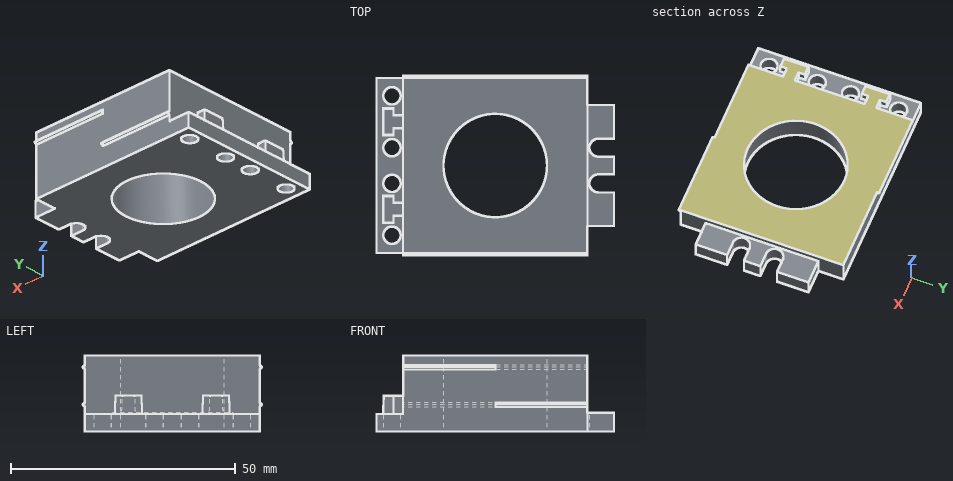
import cadquery as cq

total_length = 53.0
block_length = 41.0
overall_width = 40.0
block_width = 39.0
block_height = 17.0
bore_diameter = 23.0
block_end = block_length / 2
part_end = total_length / 2

drilled_flange_height = 4.0
hole_diameter = 3.8
hole_inset = 3.5
peg_spacing = 19.5
hole_offset_from_peg = 5.8

peg_height = 4.1
peg_inset = 1.5
head_length = 2.4
head_width = 6.1
stem_width = 3.1
peg_draft = 0.15

slotted_flange_height = 4.25
slotted_flange_width = 27.05
slot_width = 4.0
slot_depth = 5.5
slot_spacing = 7.95

ridge_projection = (overall_width - block_width) / 2
upper_ridge_z = 14.35
lower_ridge_z = 6.05


def box_between(x_start, x_end, width, height):
    """Box standing on Z = 0 and centred on Y = 0."""
    box = cq.Workplane("XY").box(x_end - x_start, width, height, centered=(False, True, False))
    return box.translate((x_start, 0, 0))


def drafted_block(x_start, x_end, y_center, width, front_draft):
    """Peg portion narrowing upward, with a sloped or plain front."""
    length = x_end - x_start
    top_length = length - front_draft
    return (
        cq.Workplane("XY", origin=(x_end, y_center, drilled_flange_height))
        .center(-length / 2, 0)
        .rect(length, width)
        .workplane(offset=peg_height)
        .center(front_draft / 2, 0)
        .rect(top_length, width - 2 * peg_draft)
        .loft(ruled=True)
    )


def t_peg(y_center):
    """Head and the stem joining it to the block."""
    head_start = -part_end + peg_inset
    head_end = head_start + head_length
    head = drafted_block(head_start, head_end, y_center, head_width, peg_draft)
    stem = drafted_block(head_end, -block_end, y_center, stem_width, 0)
    return head.union(stem)


def snap_ridge(x_start, z_center):
    """Ridge on the -Y face, running for half the block length."""
    face_y = -block_width / 2
    return (
        cq.Workplane("YZ", origin=(x_start, 0, 0))
        .moveTo(face_y, z_center - ridge_projection)
        .lineTo(face_y - ridge_projection, z_center)
        .lineTo(face_y, z_center + ridge_projection)
        .close()
        .extrude(block_length / 2)
    )


def open_slot(y_center):
    """Cutter for a round-ended slot opening through the +X end."""
    arc_center_x = part_end - slot_depth + slot_width / 2
    straight = box_between(arc_center_x, part_end, slot_width, slotted_flange_height)
    round_end = cq.Workplane("XY").circle(slot_width / 2).extrude(slotted_flange_height)
    round_end = round_end.translate((arc_center_x, 0, 0))
    return straight.union(round_end).translate((0, y_center, 0))


result = box_between(-block_end, block_end, block_width, block_height)
result = result.union(box_between(-part_end, -block_end, block_width, drilled_flange_height))
result = result.union(box_between(block_end, part_end, slotted_flange_width, slotted_flange_height))

for side in (-1, 1):
    peg_y = side * peg_spacing / 2
    result = result.union(t_peg(peg_y))
    for hole_side in (-1, 1):
        hole_y = peg_y + hole_side * hole_offset_from_peg
        hole = (
            cq.Workplane("XY")
            .center(-part_end + hole_inset, hole_y)
            .circle(hole_diameter / 2)
            .extrude(drilled_flange_height)
        )
        result = result.cut(hole)

for side in (-1, 1):
    result = result.cut(open_slot(side * slot_spacing / 2))

ridges = snap_ridge(-block_end, upper_ridge_z).union(snap_ridge(0, lower_ridge_z))
for angle in (0, 180):
    result = result.union(ridges.rotate((0, 0, 0), (0, 0, 1), angle))

bore = cq.Workplane("XY").circle(bore_diameter / 2).extrude(block_height)
result = result.cut(bore)